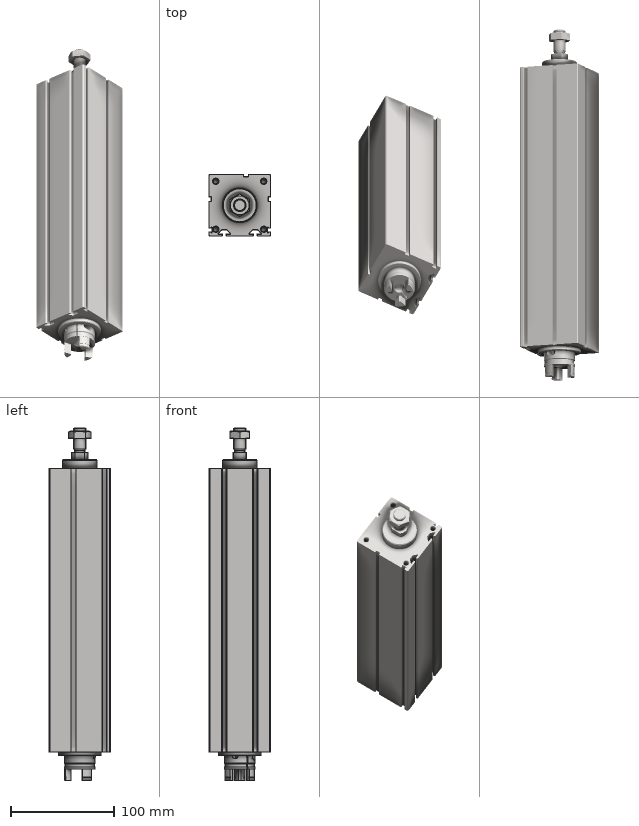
import cadquery as cq
import math


total_length = 341.9

housing_width = 60.0
housing_length = 275.0
housing_corner = 1.0
half_width = housing_width / 2

end_hole_spacing = 46.5
end_hole_diameter = 4.92
end_hole_mouth = 6.0
end_hole_depth = 15.0
drill_tip_angle = 118.0

sensor_slot_width = 4.5
sensor_slot_depth = 2.2
sensor_slot_offset = 6.0

mount_slot_offset = 15.0
mount_slot_opening = 3.6
mount_slot_chamfer = 0.8
mount_slot_lip = 2.0
mount_slot_wide = 12.0
mount_slot_floor = 5.0
mount_slot_side_wall = 0.6
mount_slot_depth = 6.1

edge_slot_offset = -24.0
edge_slot_opening = 3.6
edge_slot_chamfer = 0.4
edge_slot_lip = 2.4
edge_slot_wide = 5.4
edge_slot_floor = 2.0
edge_slot_side_wall = 0.5
edge_slot_depth = 3.2

bearing_diameter = 33.6
bearing_height = 8.3
bearing_chamfer = 0.8

rod_diameter = 16.0
rod_flats = 13.0
rod_collar_height = 7.2
neck_diameter = 10.0
neck_step_diameter = 10.5
neck_height = 3.1
neck_step_height = 1.5
thread_diameter = 12.0
thread_length = 20.6
thread_chamfer = 0.8

nut_flats = 19.0
nut_height = 7.0
nut_setback = 3.2
nut_face_diameter = 18.4
nut_chamfer_angle = 30.0

cover_diameter = 41.5
cover_thickness = 3.5
cover_chamfer = 0.6
cover_clearance = 0.5

hub_diameter = 30.0
hub_bore = 10.0
claw_length = 11.3
hub_groove_depth = 0.7
hub_groove_bottom = 13.3
hub_groove_top = 16.3
hub_groove_flare = 0.7
claw_groove_bottom = 2.4
claw_groove_top = 3.4
claw_tip_chamfer = 0.7
claw_count = 3
claw_outer_diameter = 29.4
claw_inner_diameter = 16.8
claw_nose_width = 2.0
claw_outer_width = 10.6

clamp_slit_angle = 300.0
clamp_slit_width = 1.2
clamp_screw_offset = 10.0
clamp_screw_drop = 4.2
clamp_screw_diameter = 4.0
clamp_head_diameter = 7.0
clamp_head_height = 4.0
clamp_head_seat = 2.5
clamp_screw_length = 12.0
clamp_socket_diameter = 3.0
clamp_socket_depth = 2.0
clamp_head_bore = 7.4

bearing_top = housing_length + bearing_height
collar_top = bearing_top + rod_collar_height
neck_top = collar_top + neck_height
rod_top = neck_top + thread_length
nut_top = rod_top - nut_setback
hub_bottom = rod_top - total_length
claw_root = hub_bottom + claw_length


def cylinder(diameter, bottom, height):
    return cq.Workplane("XY").workplane(offset=bottom).circle(diameter / 2).extrude(height)


def undercut_slot(opening, chamfer, lip, wide, floor, side_wall, depth):
    """Slot along Z, open at Y = 0 and running into +Y, wider behind its lips than at its mouth."""
    right_side = [
        (opening / 2 + chamfer, 0),
        (opening / 2, chamfer),
        (opening / 2, lip),
        (wide / 2, lip),
        (wide / 2, lip + side_wall),
        (floor / 2, depth),
    ]
    left_side = [(-x, y) for x, y in reversed(right_side)]
    return cq.Workplane("XY").polyline(right_side + left_side).close().extrude(housing_length)


def sensor_slot(x, y):
    """Plain slot whose mid-line lies on an outer face."""
    size = 2 * sensor_slot_depth
    across_x = size if abs(x) == half_width else sensor_slot_width
    across_y = size if abs(y) == half_width else sensor_slot_width
    return cq.Workplane("XY").center(x, y).rect(across_x, across_y).extrude(housing_length)


def end_hole():
    """Blind drilled hole with a countersunk mouth and a conical tip, its mouth at Z = 0."""
    radius = end_hole_diameter / 2
    mouth_radius = end_hole_mouth / 2
    tip_depth = radius / math.tan(math.radians(drill_tip_angle / 2))
    profile = [
        (0, 0),
        (mouth_radius, 0),
        (radius, radius - mouth_radius),
        (radius, -end_hole_depth),
        (0, -end_hole_depth - tip_depth),
    ]
    return cq.Workplane("XZ").polyline(profile).close().revolve(360, (0, 0, 0), (0, 1, 0))


def make_housing():
    body = cq.Workplane("XY").rect(housing_width, housing_width).extrude(housing_length)
    body = body.edges("|Z").chamfer(housing_corner)

    for x, y in [
        (-half_width, sensor_slot_offset),
        (half_width, sensor_slot_offset),
        (sensor_slot_offset, half_width),
    ]:
        body = body.cut(sensor_slot(x, y))

    mount_slot = undercut_slot(mount_slot_opening, mount_slot_chamfer, mount_slot_lip,
                               mount_slot_wide, mount_slot_floor, mount_slot_side_wall, mount_slot_depth)
    edge_slot = undercut_slot(edge_slot_opening, edge_slot_chamfer, edge_slot_lip,
                              edge_slot_wide, edge_slot_floor, edge_slot_side_wall, edge_slot_depth)
    for side in (-1, 1):
        body = body.cut(mount_slot.translate((side * mount_slot_offset, -half_width, 0)))
        turned_slot = edge_slot.rotate((0, 0, 0), (0, 0, 1), side * 90)
        body = body.cut(turned_slot.translate((side * half_width, edge_slot_offset, 0)))

    for x in (-end_hole_spacing / 2, end_hole_spacing / 2):
        for y in (-end_hole_spacing / 2, end_hole_spacing / 2):
            body = body.cut(end_hole().translate((x, y, housing_length)))
    return body


def make_bearing():
    ring = cylinder(bearing_diameter, housing_length, bearing_height)
    ring = ring.faces(">Z").edges().chamfer(bearing_chamfer)
    return ring.cut(cylinder(rod_diameter, housing_length, bearing_height))


def make_rod():
    collar = cylinder(rod_diameter, bearing_top, rod_collar_height).intersect(
        cq.Workplane("XY").workplane(offset=bearing_top)
        .rect(rod_flats, rod_diameter).extrude(rod_collar_height)
    )
    thread = cylinder(thread_diameter, neck_top, thread_length)
    thread = thread.faces(">Z").edges().chamfer(thread_chamfer)
    return (
        cylinder(rod_diameter, housing_length, bearing_height)
        .union(collar)
        .union(cylinder(neck_diameter, collar_top, neck_height))
        .union(cylinder(neck_step_diameter, neck_top - neck_step_height, neck_step_height))
        .union(thread)
    )


def make_nut():
    """Hexagon nut with two corners on the Y axis, its upper corners bevelled by a cone."""
    corner_diameter = nut_flats / math.cos(math.radians(30))
    nut = (
        cq.Workplane("XY").workplane(offset=nut_top - nut_height)
        .polygon(6, corner_diameter).extrude(nut_height)
        .rotate((0, 0, 0), (0, 0, 1), 30)
    )
    bevel_width = (corner_diameter - nut_face_diameter) / 2
    bevel_height = bevel_width * math.tan(math.radians(nut_chamfer_angle))
    envelope = cylinder(corner_diameter, nut_top - nut_height, nut_height)
    envelope = envelope.faces(">Z").edges().chamfer(bevel_height, bevel_width)
    thread_hole = cylinder(thread_diameter, nut_top - nut_height, nut_height)
    return nut.intersect(envelope).cut(thread_hole)


def make_cover():
    cover = cylinder(cover_diameter, -cover_thickness, cover_thickness)
    cover = cover.faces("<Z").edges().chamfer(cover_chamfer)
    return cover.cut(cylinder(hub_diameter + 2 * cover_clearance, -cover_thickness, cover_thickness))


def claw_sector(angle):
    """Wedge that one claw fills, narrowing toward the hub axis."""
    inner = claw_inner_diameter / 2
    nose = claw_nose_width / 2
    reach = claw_outer_diameter / 2
    outer = math.sqrt(reach ** 2 - (claw_outer_width / 2) ** 2)
    outline = [
        (inner, -nose),
        (outer, -claw_outer_width / 2),
        (reach, -claw_outer_width / 2),
        (reach, claw_outer_width / 2),
        (outer, claw_outer_width / 2),
        (inner, nose),
    ]
    wedge = cq.Workplane("XY").workplane(offset=hub_bottom).polyline(outline).close().extrude(claw_length)
    return wedge.rotate((0, 0, 0), (0, 0, 1), angle)


def hub_groove(bottom, top, flare):
    """Ring that cuts a shallow groove between two heights above the claw tips, its top flared outward."""
    outer = hub_diameter / 2
    inner = outer - hub_groove_depth
    profile = [
        (inner, hub_bottom + bottom),
        (outer, hub_bottom + bottom),
        (outer, hub_bottom + top + flare),
        (inner, hub_bottom + top),
    ]
    return cq.Workplane("XZ").polyline(profile).close().revolve(360, (0, 0, 0), (0, 1, 0))


def place_on_clamp_axis(shape):
    """Move a shape built along +X onto the clamp screw axis, X = 0 going to the slit plane."""
    moved = shape.translate((0, -clamp_screw_offset, -clamp_screw_drop))
    return moved.rotate((0, 0, 0), (0, 0, 1), clamp_slit_angle - 270)


def clamp_cylinder(diameter, start, length):
    return cq.Workplane("YZ").workplane(offset=start).circle(diameter / 2).extrude(length)


def make_hub():
    hub = cylinder(hub_diameter, claw_root, -claw_root)
    claw_blank = cylinder(claw_outer_diameter, hub_bottom, claw_length)
    claw_blank = claw_blank.faces("<Z").edges().chamfer(claw_tip_chamfer)
    for index in range(claw_count):
        angle = 90 + index * 360 / claw_count
        hub = hub.union(claw_blank.intersect(claw_sector(angle)))
    hub = hub.cut(hub_groove(hub_groove_bottom, hub_groove_top, hub_groove_flare))
    hub = hub.cut(hub_groove(claw_groove_bottom, claw_groove_top, 0))
    hub = hub.cut(cylinder(hub_bore, claw_root, -claw_root))

    slit = (
        cq.Workplane("XY").workplane(offset=claw_root).center(hub_diameter / 4, 0)
        .rect(hub_diameter / 2, clamp_slit_width).extrude(-claw_root)
        .rotate((0, 0, 0), (0, 0, 1), clamp_slit_angle)
    )
    hub = hub.cut(slit)

    screw_hole = clamp_cylinder(clamp_screw_diameter, -hub_diameter / 2, hub_diameter / 2 + clamp_head_seat)
    head_bore = clamp_cylinder(clamp_head_bore, clamp_head_seat, hub_diameter / 2)
    return hub.cut(place_on_clamp_axis(screw_hole.union(head_bore)))


def make_clamp_screw():
    shank = clamp_cylinder(clamp_screw_diameter, clamp_head_seat - clamp_screw_length, clamp_screw_length)
    head = clamp_cylinder(clamp_head_diameter, clamp_head_seat, clamp_head_height)
    socket_start = clamp_head_seat + clamp_head_height - clamp_socket_depth
    socket = clamp_cylinder(clamp_socket_diameter, socket_start, clamp_socket_depth)
    return place_on_clamp_axis(shank.union(head).cut(socket))


housing = make_housing()
bearing = make_bearing()
rod = make_rod()
nut = make_nut()
cover = make_cover()
hub = make_hub()
clamp_screw = make_clamp_screw()

result = cq.Compound.makeCompound([
    housing.val(),
    bearing.val(),
    rod.val(),
    nut.val(),
    cover.val(),
    hub.val(),
    clamp_screw.val(),
])